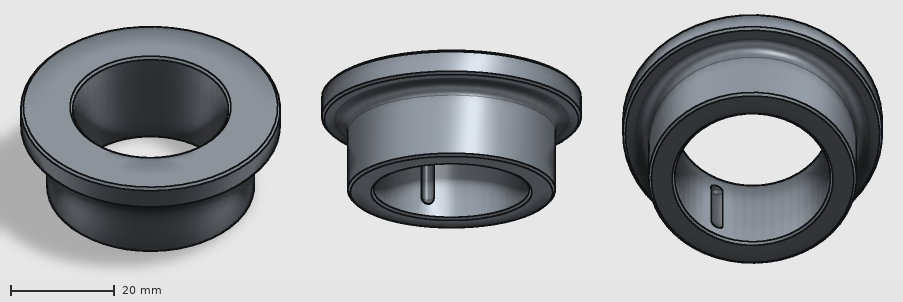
import cadquery as cq

flange_diameter = 50
body_diameter = 40
bore_diameter = 30
total_height = 20
flange_thickness = 5
neck_fillet = 2.5
edge_chamfer = 0.5

groove_diameter = 2.5
groove_end_inset = 4.25


def make_flanged_body():
    """Turned outside: chamfered body, filleted neck and chamfered flange."""
    body_radius = body_diameter / 2
    flange_radius = flange_diameter / 2
    flange_bottom = total_height - flange_thickness
    return (
        cq.Workplane("XZ")
        .lineTo(body_radius - edge_chamfer, 0)
        .lineTo(body_radius, edge_chamfer)
        .lineTo(body_radius, flange_bottom - neck_fillet)
        .radiusArc((body_radius + neck_fillet, flange_bottom), neck_fillet)
        .lineTo(flange_radius - edge_chamfer, flange_bottom)
        .lineTo(flange_radius, flange_bottom + edge_chamfer)
        .lineTo(flange_radius, total_height - edge_chamfer)
        .lineTo(flange_radius - edge_chamfer, total_height)
        .lineTo(0, total_height)
        .close()
        .revolve(360, (0, 0), (0, 1))
    )


def make_bore():
    """Through bore with a chamfer at both mouths."""
    radius = bore_diameter / 2
    mouth_radius = radius + edge_chamfer
    profile = [
        (0, 0),
        (mouth_radius, 0),
        (radius, edge_chamfer),
        (radius, total_height - edge_chamfer),
        (mouth_radius, total_height),
        (0, total_height),
    ]
    return cq.Workplane("XZ").polyline(profile).close().revolve(360, (0, 0), (0, 1))


def make_groove():
    """Axial groove centred on the bore surface, with spherical ends."""
    radius = groove_diameter / 2
    groove_bottom = groove_end_inset - radius
    groove_top = total_height - groove_bottom
    return (
        cq.Workplane("XZ", origin=(bore_diameter / 2, 0, 0))
        .moveTo(0, groove_bottom)
        .radiusArc((radius, groove_end_inset), -radius)
        .lineTo(radius, total_height - groove_end_inset)
        .radiusArc((0, groove_top), -radius)
        .close()
        .revolve(360, (0, 0), (0, 1))
    )


result = make_flanged_body().cut(make_bore()).cut(make_groove())